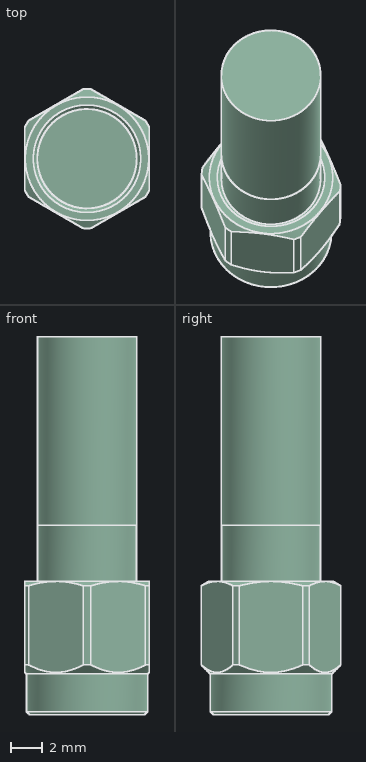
import cadquery as cq
import math

total_height = 24.09
collar_height = 2.6
nut_top = 8.52
sleeve_top = 12.08

flat_count = 6
half_flat_angle = 180 / flat_count
across_flats = 7.94
corner_diameter = 8.9
top_face_diameter = 7.87
bottom_face_diameter = 7.75
top_chamfer_angle = 30
bottom_chamfer_angle = 45
mouth_diameter = 6.85
mouth_chamfer_angle = 45

collar_diameter = 7.75
collar_chamfer = 0.2
body_diameter = 6.35
sleeve_diameter = 6.32


def cylinder(diameter, bottom, top):
    """Upright cylinder on the Z axis between two heights."""
    return cq.Workplane("XY").workplane(offset=bottom).circle(diameter / 2).extrude(top - bottom)


def chamfer_drop(wide_diameter, narrow_diameter, angle):
    """Height of a conical chamfer inclined at an angle to the horizontal."""
    return (wide_diameter - narrow_diameter) / 2 * math.tan(math.radians(angle))


def make_nut():
    """Hexagon with two flats facing +X and -X, turned to a round, double-chamfered outline."""
    across_corners = across_flats / math.cos(math.radians(half_flat_angle))
    hexagon = (
        cq.Workplane("XY")
        .workplane(offset=collar_height)
        .polygon(flat_count, across_corners)
        .extrude(nut_top - collar_height)
        .rotate((0, 0, 0), (0, 0, 1), half_flat_angle)
    )
    lower_drop = chamfer_drop(corner_diameter, bottom_face_diameter, bottom_chamfer_angle)
    upper_drop = chamfer_drop(corner_diameter, top_face_diameter, top_chamfer_angle)
    turned_blank = (
        cq.Workplane("XZ")
        .moveTo(0, collar_height)
        .lineTo(bottom_face_diameter / 2, collar_height)
        .lineTo(corner_diameter / 2, collar_height + lower_drop)
        .lineTo(corner_diameter / 2, nut_top - upper_drop)
        .lineTo(top_face_diameter / 2, nut_top)
        .lineTo(0, nut_top)
        .close()
        .revolve(360, (0, 0, 0), (0, 1, 0))
    )
    return hexagon.intersect(turned_blank)


def make_mouth():
    """Countersink in the top of the nut, narrowing to the sleeve."""
    depth = chamfer_drop(mouth_diameter, sleeve_diameter, mouth_chamfer_angle)
    return (
        cq.Workplane("XY")
        .workplane(offset=nut_top)
        .circle(mouth_diameter / 2)
        .workplane(offset=-depth)
        .circle(sleeve_diameter / 2)
        .loft()
    )


collar = cylinder(collar_diameter, 0, collar_height).faces("<Z").edges().chamfer(collar_chamfer)
sleeve = cylinder(sleeve_diameter, collar_height, sleeve_top)
body = cylinder(body_diameter, sleeve_top, total_height)

result = make_nut().cut(make_mouth()).union(collar).union(sleeve).union(body)